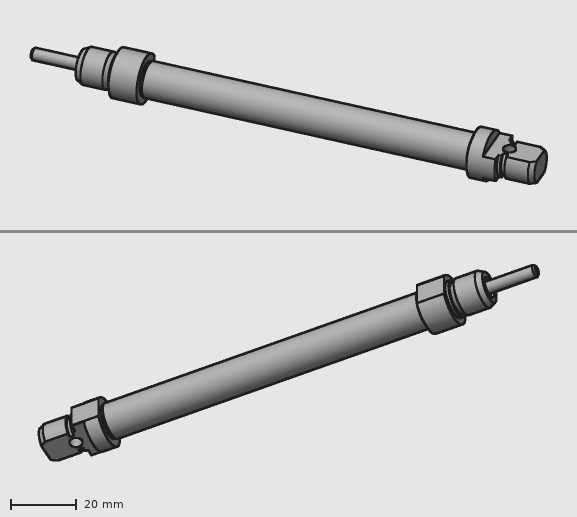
import cadquery as cq

length = 166.5
nose_start = 16.2
nose_chamfer_end = 18.1
nose_land_end = 25.3
nose_groove_end = 27.1
front_collar_start = 28.1
front_collar_end = 37.3
tube_start = 38.1
tube_end = 144.5
rear_collar_start = 145.4
clevis_flat_start = 150.3
rear_collar_end = 154.5
rear_groove_start = 155.5
rear_groove_end = 157.0
tail_chamfer_start = 164.7

rod_radius = 2.0
rod_chamfer = 0.7
core_radius = 5.0
land_radius = 6.0
collar_radius = 8.0
tube_radius = 5.8
tube_groove_radius = 5.5
tail_end_radius = 5.2

collar_flat_y = 7.0
clevis_thickness = 8.0
pivot_x = 156.3
pivot_diameter = 4.0
recess_radius = 3.3
recess_depth = 1.0


def turned_body():
    """Revolve rod, threaded nose, collars, tube and tail about X."""
    profile = [
        (0, 0),
        (0, rod_radius - rod_chamfer),
        (rod_chamfer, rod_radius),
        (nose_start, rod_radius),
        (nose_start, core_radius),
        (nose_chamfer_end, land_radius),
        (nose_land_end, land_radius),
        (nose_groove_end, core_radius),
        (nose_groove_end, land_radius),
        (front_collar_start, land_radius),
        (front_collar_start, collar_radius),
        (front_collar_end, collar_radius),
        (front_collar_end, tube_groove_radius),
        (tube_start, tube_groove_radius),
        (tube_start, tube_radius),
        (tube_end, tube_radius),
        (tube_end, tube_groove_radius),
        (rear_collar_start, tube_groove_radius),
        (rear_collar_start, collar_radius),
        (rear_collar_end, collar_radius),
        (rear_collar_end, land_radius),
        (rear_groove_start, land_radius),
        (rear_groove_start, core_radius),
        (rear_groove_end, core_radius),
        (rear_groove_end, land_radius),
        (tail_chamfer_start, land_radius),
        (length, tail_end_radius),
        (length, 0),
    ]
    return cq.Workplane("XY").polyline(profile).close().revolve(360, (0, 0, 0), (1, 0, 0))


def rod_recess():
    """Annular pocket around the rod in the nose face."""
    return (
        cq.Workplane("YZ", origin=(nose_start, 0, 0))
        .circle(recess_radius)
        .circle(rod_radius)
        .extrude(recess_depth)
    )


def collar_flat():
    """Material beyond the single flat on the +Y side of both collars."""
    return cq.Workplane("XY").box(
        length, collar_radius, 2 * collar_radius, centered=(False, False, True)
    ).translate((0, collar_flat_y, 0))


def clevis_side(direction):
    """Material above or below the flat tail; direction is +1 or -1 along Z."""
    cut_height = collar_radius
    center_z = direction * (clevis_thickness + cut_height) / 2
    return cq.Workplane("XY").box(
        length - clevis_flat_start, 2 * collar_radius, cut_height, centered=(False, True, True)
    ).translate((clevis_flat_start, 0, center_z))


def pivot_hole():
    """Hole along Z through the flat tail."""
    return (
        cq.Workplane("XY", origin=(pivot_x, 0, 0))
        .circle(pivot_diameter / 2)
        .extrude(clevis_thickness, both=True)
    )


result = turned_body().cut(rod_recess()).cut(collar_flat())
for side in (1, -1):
    result = result.cut(clevis_side(side))
result = result.cut(pivot_hole())